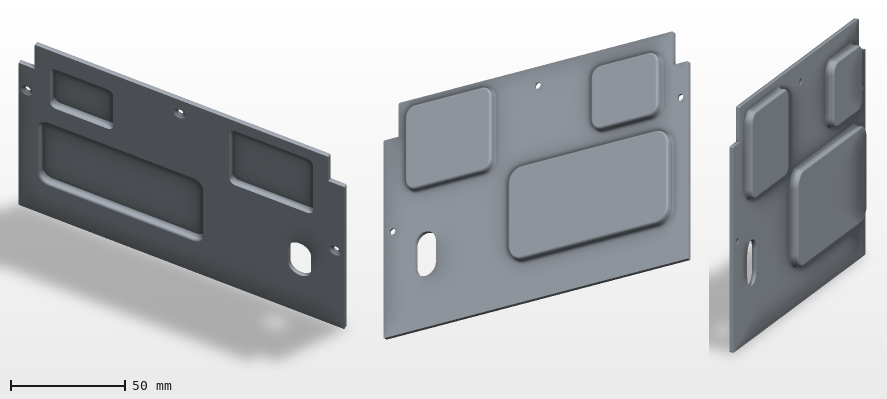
import cadquery as cq

plate_width = 160.0
plate_height = 110.0
plate_thickness = 2.0
notch_width = 8.0
notch_height = 16.0
plate_corner_radius = 0.5

wall_thickness = 2.0
shell_edge_radius = 1.0
full_tray_back = 6.0
low_tray_back = 5.5

selection_margin = 0.1

small_tray = dict(center=(31.0, 85.9), size=(31.0, 26.0), corner_radius=3.0, back=full_tray_back)
square_tray = dict(center=(124.0, 85.6), size=(41.0, 35.8), corner_radius=3.0, back=low_tray_back)
large_tray = dict(center=(50.1, 41.0), size=(80.0, 40.0), corner_radius=5.0, back=full_tray_back)
trays = [small_tray, square_tray, large_tray]

screw_centers = [(4.0, 77.6), (79.0, 101.0), (155.4, 49.7)]
screw_hole_diameter = 3.0
countersink_diameter = 6.0
countersink_depth = 1.0

slot_center = (138.0, 35.0)
slot_width = 11.0
slot_length = 21.0


def front_sketch(y):
    """Workplane at depth y whose axes are X and Z; it extrudes toward -Y."""
    return cq.Workplane("XZ", origin=(0, y, 0))


def rounded_block(center, size, corner_radius, y_front, y_back):
    block = front_sketch(y_front).center(*center).rect(*size).extrude(y_front - y_back)
    return block.edges("|Y").fillet(corner_radius)


def make_plate():
    shoulder = plate_height - notch_height
    outline = [
        (0, 0),
        (plate_width, 0),
        (plate_width, shoulder),
        (plate_width - notch_width, shoulder),
        (plate_width - notch_width, plate_height),
        (notch_width, plate_height),
        (notch_width, shoulder),
        (0, shoulder),
    ]
    plate = front_sketch(0).polyline(outline).close().extrude(-plate_thickness)
    outer_corners = plate.edges("|Y").edges("<X or >X or >Z")
    return outer_corners.fillet(plate_corner_radius)


def box_at_depth(y, center, size):
    """Selector for the edges at depth y that lie within a rectangle."""
    x, z = center
    half_x, half_z = [side / 2 + selection_margin for side in size]
    return cq.selectors.BoxSelector(
        (x - half_x, y - selection_margin, z - half_z),
        (x + half_x, y + selection_margin, z + half_z),
    )


def add_boss(body, tray):
    """Raise a tray on the back, with a rounded rim and a rounded foot."""
    size = [side + 2 * wall_thickness for side in tray["size"]]
    radius = tray["corner_radius"] + wall_thickness
    boss = rounded_block(tray["center"], size, radius, 0, tray["back"])
    boss = boss.faces(">Y").edges().fillet(shell_edge_radius)
    foot = box_at_depth(plate_thickness, tray["center"], size)
    return body.union(boss).edges(foot).fillet(shell_edge_radius)


def cut_pocket(body, tray):
    """Hollow a tray from the front, leaving a floor as thick as its walls."""
    floor = tray["back"] - wall_thickness
    return body.cut(rounded_block(tray["center"], tray["size"], tray["corner_radius"], 0, floor))


def round_pocket_mouth(body, tray):
    mouth = box_at_depth(0, tray["center"], tray["size"])
    return body.edges(mouth).fillet(shell_edge_radius)


def screw_hole(center):
    x, z = center
    drill = front_sketch(0).center(x, z).circle(screw_hole_diameter / 2).extrude(-plate_thickness)
    sink = cq.Solid.makeCone(
        countersink_diameter / 2,
        screw_hole_diameter / 2,
        countersink_depth,
        cq.Vector(x, 0, z),
        cq.Vector(0, 1, 0),
    )
    return drill.union(cq.Workplane(sink))


def slot_cutter():
    return front_sketch(0).center(*slot_center).slot2D(slot_length, slot_width, 90).extrude(-plate_thickness)


result = make_plate()
for tray in trays:
    result = add_boss(result, tray)
for tray in trays:
    result = cut_pocket(result, tray)
result = round_pocket_mouth(result, large_tray)
for center in screw_centers:
    result = result.cut(screw_hole(center))
result = result.cut(slot_cutter())